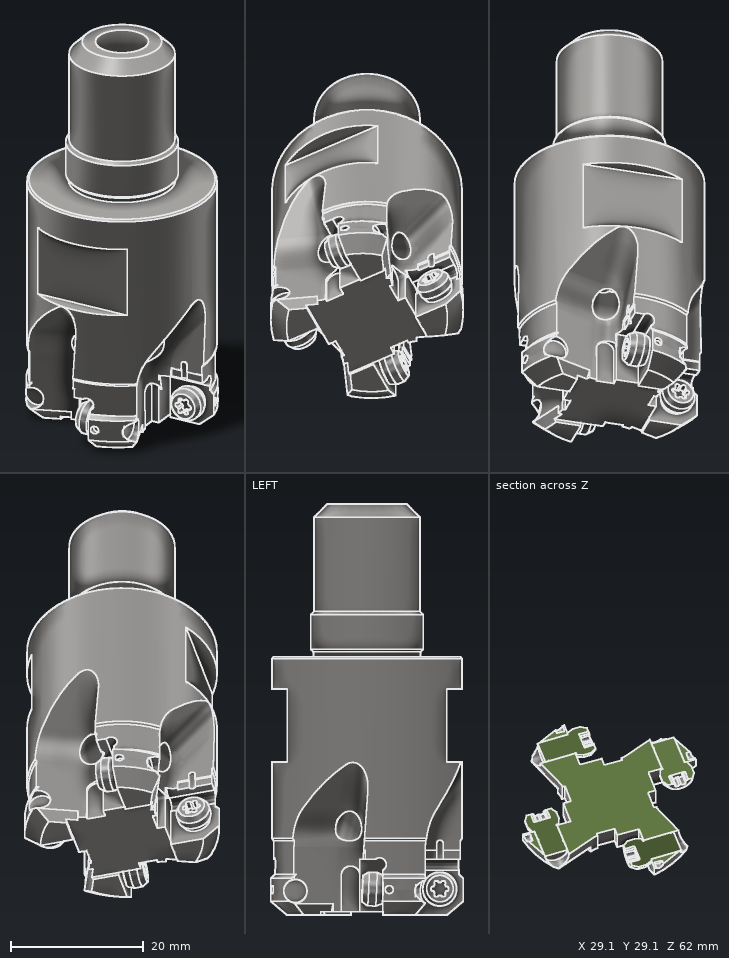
import cadquery as cq
import math

TOOTH_COUNT = 4
OVERALL_LENGTH = 62.03
CUTTING_REACH = 14.54

BODY_RADIUS = 14.35
SHOULDER_Z = 39.0
SHOULDER_BEVEL = 0.3
NOSE_RADIUS = 14.1
NOSE_STEP_Z = 11.2
NOSE_STEP_BEVEL_HEIGHT = 0.4
CORE_RADIUS = 12.0
CORE_BOTTOM_Z = 0.5

SHANK_RADIUS = 8.0
SHANK_TIP_RADIUS = 6.0
SHANK_TIP_BEVEL = SHANK_RADIUS - SHANK_TIP_RADIUS
COLLAR_RADIUS = 8.5
COLLAR_BOTTOM_Z = 40.1
COLLAR_TOP_Z = 45.8
COLLAR_BEVEL = COLLAR_RADIUS - SHANK_RADIUS
NECK_RADIUS = 8.1

FLAT_DISTANCE = 12.05
FLAT_BOTTOM_Z = 23.1
FLAT_HEIGHT = 11.0

BORE_RADIUS = 2.0
BORE_MOUTH_RADIUS = 4.0
BORE_MOUTH_HALF_ANGLE = math.radians(30)
BORE_MOUTH_DEPTH = (BORE_MOUTH_RADIUS - BORE_RADIUS) / math.tan(BORE_MOUTH_HALF_ANGLE)
BRANCH_TOP_Z = 23.4
BRANCH_RADIUS = 2.0
BRANCH_END = cq.Vector(9.9, -3.8, 9.2)

FLOOR_X = 8.8
FLOOR_EDGE_Y = -11.0
FLOOR_SKEW = 21.0
FLOOR_TOP_Z = 10.3
RUNOUT_RADIUS = 9.0
RUNOUT_ANGLE = math.radians(40)
RUNOUT_LENGTH = 14.0
WALL_Y = -0.4
WALL_TILT = 4.0
GULLET_RADIUS = 2.75
CLEARANCE = 20.0
TILT_REACH = 2 * CLEARANCE

RAKE_Y = 2.4
RELIEF_SHIFT = 0.8
TOOTH_RADIUS = math.hypot(CUTTING_REACH, RAKE_Y + RELIEF_SHIFT)
TOOTH_TOP_Z = 6.15
TOOTH_TOP_BEVEL = 0.6
TOOTH_CORNER_WIDTH = 2.4
TOOTH_CORNER_HEIGHT = 2.1
TOOTH_INNER_X = 7.0
HEEL_Z = 1.75
HEEL_BEVEL_WIDTH = 0.9
HEEL_INNER_Y = -4.7

POCKET_INNER_X = 7.0
POCKET_FRONT_Y = -1.1
POCKET_TOP_Z = 8.4
LIP_TOP_Z = 9.8
LIP_DEPTH = 0.15
RELIEF_GROOVE_RADIUS = 1.0
RELIEF_GROOVE_Y = 1.9
RELIEF_GROOVE_Z = 7.65
NOTCH_RADIUS = 0.5
NOTCH_TOP_Z = 11.3

SLOT_CENTER_Y = -2.48
SLOT_RADIUS = 1.4
SLOT_TOP_Z = 7.4
SLOT_FLOOR_X = 5.8

DIMPLE_RADIUS = 0.6
DIMPLE_Y = 3.36
DIMPLE_Z = 3.86
DIMPLE_DEPTH = 0.8

SCREW_FACE = cq.Vector(11.0, -0.7, 4.0)
SCREW_EXIT = cq.Vector(10.77, FLOOR_X, 3.6)
SCREW_HOLE_LENGTH = 10.0
SCREW_LENGTH = 8.0
SCREW_SHANK_RADIUS = 1.75
HEAD_RADIUS = 2.55
HEAD_FACE_RADIUS = 2.0
HEAD_BEVEL_HEIGHT = 0.9
HEAD_SEAT_HEIGHT = 1.0
HEAD_SEAT_INSET = 0.4
HEAD_HEIGHT = RAKE_Y - SCREW_FACE.y
SOCKET_RADIUS = 1.0
SOCKET_LOBE_RADIUS = 0.35
SOCKET_LOBES = 6
SOCKET_DEPTH = 1.5


def turned(shape, index):
    """Turn a shape from the +X side to the tooth position with this index."""
    return shape.rotate((0, 0, 0), (0, 0, 1), index * 360.0 / TOOTH_COUNT)


def box(x0, x1, y0, y1, z0, z1):
    """Box between the given limits on each axis."""
    return cq.Workplane("XY").box(x1 - x0, y1 - y0, z1 - z0, centered=False).translate((x0, y0, z0))


def make_blank():
    """Shank, collar and body as one turned profile."""
    shank_bevel_z = OVERALL_LENGTH - SHANK_TIP_BEVEL
    return (
        cq.Workplane("XZ")
        .moveTo(0, CORE_BOTTOM_Z)
        .lineTo(CORE_RADIUS, CORE_BOTTOM_Z)
        .lineTo(CORE_RADIUS, TOOTH_TOP_Z)
        .lineTo(NOSE_RADIUS, TOOTH_TOP_Z)
        .lineTo(NOSE_RADIUS, NOSE_STEP_Z)
        .lineTo(BODY_RADIUS, NOSE_STEP_Z + NOSE_STEP_BEVEL_HEIGHT)
        .lineTo(BODY_RADIUS, SHOULDER_Z - SHOULDER_BEVEL)
        .lineTo(BODY_RADIUS - SHOULDER_BEVEL, SHOULDER_Z)
        .lineTo(NECK_RADIUS, SHOULDER_Z)
        .lineTo(NECK_RADIUS, COLLAR_BOTTOM_Z - (COLLAR_RADIUS - NECK_RADIUS))
        .lineTo(COLLAR_RADIUS, COLLAR_BOTTOM_Z)
        .lineTo(COLLAR_RADIUS, COLLAR_TOP_Z - COLLAR_BEVEL)
        .lineTo(SHANK_RADIUS, COLLAR_TOP_Z)
        .lineTo(SHANK_RADIUS, shank_bevel_z)
        .lineTo(SHANK_TIP_RADIUS, OVERALL_LENGTH)
        .lineTo(0, OVERALL_LENGTH)
        .close()
        .revolve(360, (0, 0, 0), (0, 1, 0))
    )


def make_tooth():
    """Radially relieved tooth, turned about an axis beside the tool axis."""
    ring = (
        cq.Workplane("XZ")
        .moveTo(0, 0)
        .lineTo(TOOTH_RADIUS - TOOTH_CORNER_WIDTH, 0)
        .lineTo(TOOTH_RADIUS, TOOTH_CORNER_HEIGHT)
        .lineTo(TOOTH_RADIUS, TOOTH_TOP_Z - TOOTH_TOP_BEVEL)
        .lineTo(TOOTH_RADIUS - TOOTH_TOP_BEVEL, TOOTH_TOP_Z)
        .lineTo(0, TOOTH_TOP_Z)
        .close()
        .revolve(360, (0, 0, 0), (0, 1, 0))
        .translate((0, -RELIEF_SHIFT, 0))
    )
    return ring.intersect(box(TOOTH_INNER_X, CLEARANCE, RAKE_Y, FLOOR_X, 0, TOOTH_TOP_Z))


def tilted(shape):
    """Tilt a shape by the wall angle about the wall line at the nose step."""
    return shape.rotate((0, WALL_Y, NOSE_STEP_Z), (1, WALL_Y, NOSE_STEP_Z), -WALL_TILT)


def make_open_side():
    """Space on the open side of the tilted flute wall."""
    return tilted(box(0, TILT_REACH, -TILT_REACH, WALL_Y, -TILT_REACH, TILT_REACH))


def runout_point(angle, along=0.0):
    """Point (x, z) on the floor run-out: an arc, then a distance along the slant."""
    x = FLOOR_X + RUNOUT_RADIUS * (1 - math.cos(angle)) + along * math.sin(angle)
    z = FLOOR_TOP_Z + RUNOUT_RADIUS * math.sin(angle) + along * math.cos(angle)
    return x, z


def skewed(shape):
    """Turn a shape with the flute floor about the outer edge of the floor."""
    return shape.rotate((FLOOR_X, FLOOR_EDGE_Y, 0), (FLOOR_X, FLOOR_EDGE_Y, 1), FLOOR_SKEW)


def make_flute_cutter():
    """Flute floor with its run-out, closed by the wall and rounded in the corner."""
    end_x, end_z = runout_point(RUNOUT_ANGLE, RUNOUT_LENGTH)
    floor = (
        cq.Workplane("XZ", origin=(0, CLEARANCE, 0))
        .moveTo(FLOOR_X, -CLEARANCE)
        .lineTo(FLOOR_X, FLOOR_TOP_Z)
        .threePointArc(runout_point(RUNOUT_ANGLE / 2), runout_point(RUNOUT_ANGLE))
        .lineTo(end_x, end_z)
        .lineTo(end_x, -CLEARANCE)
        .close()
        .extrude(2 * CLEARANCE)
    )
    flute = skewed(floor).intersect(make_open_side())
    return flute.faces(">Y").edges("not(<Z or >X)").fillet(GULLET_RADIUS)


def make_pocket_cutters():
    """Space for the screw head, with its lip, relief groove and small notch."""
    pocket = box(POCKET_INNER_X, CLEARANCE, POCKET_FRONT_Y, RAKE_Y, 0, POCKET_TOP_Z)
    lip = box(FLOOR_X, CLEARANCE, POCKET_FRONT_Y, WALL_Y + LIP_DEPTH, POCKET_TOP_Z, LIP_TOP_Z)
    groove = (
        cq.Workplane("YZ", origin=(POCKET_INNER_X, 0, 0))
        .center(RELIEF_GROOVE_Y, RELIEF_GROOVE_Z)
        .circle(RELIEF_GROOVE_RADIUS)
        .extrude(CLEARANCE)
    )
    notch_end_z = NOTCH_TOP_Z - NOTCH_RADIUS
    notch_end = cq.Workplane("XY").sphere(NOTCH_RADIUS).translate((SCREW_FACE.x, WALL_Y, notch_end_z))
    notch = (
        cq.Workplane("XY", origin=(SCREW_FACE.x, WALL_Y, POCKET_TOP_Z))
        .circle(NOTCH_RADIUS)
        .extrude(notch_end_z - POCKET_TOP_Z)
        .union(notch_end)
    )
    return [pocket, lip, groove, notch]


def make_slot_cutter():
    return (
        cq.Workplane("YZ", origin=(SLOT_FLOOR_X, 0, 0))
        .moveTo(SLOT_CENTER_Y - SLOT_RADIUS, 0)
        .lineTo(SLOT_CENTER_Y - SLOT_RADIUS, SLOT_TOP_Z - SLOT_RADIUS)
        .threePointArc((SLOT_CENTER_Y, SLOT_TOP_Z), (SLOT_CENTER_Y + SLOT_RADIUS, SLOT_TOP_Z - SLOT_RADIUS))
        .lineTo(SLOT_CENTER_Y + SLOT_RADIUS, 0)
        .close()
        .extrude(CLEARANCE)
    )


def make_heel_cutter():
    """Bevel along the lower edge of the flute floor, under the back of the tooth."""
    bevel = (
        cq.Workplane("XZ", origin=(0, HEEL_INNER_Y, 0))
        .moveTo(FLOOR_X - HEEL_BEVEL_WIDTH, 0)
        .lineTo(FLOOR_X, HEEL_Z)
        .lineTo(FLOOR_X, 0)
        .close()
        .extrude(CLEARANCE)
    )
    return skewed(bevel)


def make_dimple_cutter():
    land_x = math.sqrt(TOOTH_RADIUS ** 2 - (DIMPLE_Y + RELIEF_SHIFT) ** 2)
    return (
        cq.Workplane("YZ", origin=(land_x - DIMPLE_DEPTH, 0, 0))
        .center(DIMPLE_Y, DIMPLE_Z)
        .circle(DIMPLE_RADIUS)
        .extrude(CLEARANCE)
    )


def make_branch_cutter():
    """Coolant branch from the bore down to the flute."""
    start = cq.Vector(0, 0, BRANCH_TOP_Z)
    run = BRANCH_END - start
    return cq.Workplane(cq.Solid.makeCylinder(BRANCH_RADIUS, run.Length, start, run))


def make_bore_cutter():
    mouth_bottom_z = OVERALL_LENGTH - BORE_MOUTH_DEPTH
    return (
        cq.Workplane("XZ")
        .moveTo(0, BRANCH_TOP_Z - BORE_RADIUS)
        .lineTo(BORE_RADIUS, BRANCH_TOP_Z)
        .lineTo(BORE_RADIUS, mouth_bottom_z)
        .lineTo(BORE_MOUTH_RADIUS, OVERALL_LENGTH)
        .lineTo(0, OVERALL_LENGTH)
        .close()
        .revolve(360, (0, 0, 0), (0, 1, 0))
    )


def make_screw_blank(length):
    """Screw of a given length without its socket, along the inclined screw axis."""
    return (
        cq.Workplane(screw_plane())
        .circle(SCREW_SHANK_RADIUS)
        .extrude(length)
        .union(
            cq.Workplane(screw_plane())
            .circle(HEAD_RADIUS)
            .extrude(HEAD_HEIGHT)
            .faces("<Y")
            .chamfer(HEAD_BEVEL_HEIGHT, HEAD_RADIUS - HEAD_FACE_RADIUS)
            .faces(">Y")
            .chamfer(HEAD_SEAT_HEIGHT, HEAD_SEAT_INSET)
        )
    )


def screw_plane():
    return cq.Plane(SCREW_FACE, xDir=(1, 0, 0), normal=SCREW_EXIT - SCREW_FACE)


def make_socket_cutter():
    """Six-lobed drive socket."""
    core = cq.Workplane(screw_plane()).circle(SOCKET_RADIUS).extrude(SOCKET_DEPTH)
    lobes = (
        cq.Workplane(screw_plane())
        .polarArray(SOCKET_RADIUS, 0, 360, SOCKET_LOBES)
        .circle(SOCKET_LOBE_RADIUS)
        .extrude(SOCKET_DEPTH)
    )
    return core.union(lobes)


def make_flat_cutter():
    """Material removed by the wrench flat on the +Y side."""
    flat_top_z = FLAT_BOTTOM_Z + FLAT_HEIGHT
    return box(-CLEARANCE, CLEARANCE, FLAT_DISTANCE, CLEARANCE, FLAT_BOTTOM_Z, flat_top_z)


def make_body():
    body = make_blank()
    tooth = make_tooth()
    for index in range(TOOTH_COUNT):
        body = body.union(turned(tooth, index))
    cutters = [make_flute_cutter(), make_slot_cutter(), make_heel_cutter()]
    cutters += make_pocket_cutters()
    cutters += [make_dimple_cutter(), make_branch_cutter(), make_screw_blank(SCREW_HOLE_LENGTH)]
    for cutter in cutters:
        for index in range(TOOTH_COUNT):
            body = body.cut(turned(cutter, index))
    flat = make_flat_cutter()
    body = body.cut(flat).cut(flat.mirror("XZ"))
    return body.cut(make_bore_cutter())


def make_screws():
    screw = make_screw_blank(SCREW_LENGTH).cut(make_socket_cutter())
    return [turned(screw, index).solids().val() for index in range(TOOTH_COUNT)]


body = make_body()
screws = make_screws()
result = cq.Compound.makeCompound([body.solids().val(), *screws])